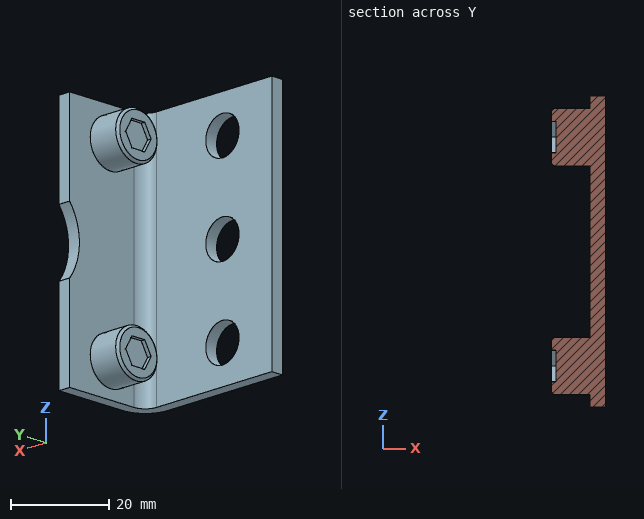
import cadquery as cq
import math

width = 39.69
depth = 24.99
height = 63.5
thickness = 3.175
bend_inner_radius = 3.25
bend_outer_radius = bend_inner_radius + thickness

hole_diameter = 9.53
hole_x = 14.29
hole_pitch = 22.225

head_diameter = 11.91
head_height = 7.94
head_chamfer = 0.6
head_y = 13.1
head_pitch = 46.7
socket_flats = 6.35
socket_depth = 1.0

notch_chord = 16.5
notch_depth = 2.8

mid_z = height / 2
inner_face_x = width - thickness


def make_bracket():
    arc_offset = 1 - math.sqrt(0.5)
    outer_mid = bend_outer_radius * arc_offset
    inner_mid = thickness + bend_inner_radius * arc_offset
    return (
        cq.Workplane("XY")
        .lineTo(width - bend_outer_radius, 0)
        .threePointArc((width - outer_mid, outer_mid), (width, bend_outer_radius))
        .lineTo(width, depth)
        .lineTo(inner_face_x, depth)
        .lineTo(inner_face_x, bend_outer_radius)
        .threePointArc((width - inner_mid, inner_mid), (width - bend_outer_radius, thickness))
        .lineTo(0, thickness)
        .close()
        .extrude(height)
    )


def make_mounting_holes():
    holes = cq.Workplane("XY")
    for step in (-1, 0, 1):
        hole = (
            cq.Workplane("XZ", origin=(hole_x, 0, mid_z + step * hole_pitch))
            .circle(hole_diameter / 2)
            .extrude(-thickness)
        )
        holes = holes.add(hole)
    return holes.combine()


def make_notch():
    notch_radius = ((notch_chord / 2) ** 2 + notch_depth ** 2) / (2 * notch_depth)
    center_y = depth - notch_depth + notch_radius
    return (
        cq.Workplane("YZ", origin=(inner_face_x, center_y, mid_z))
        .circle(notch_radius)
        .extrude(thickness)
    )


def make_screw_head(z):
    seat = cq.Plane(origin=(inner_face_x, head_y, z), xDir=(0, 1, 0), normal=(-1, 0, 0))
    socket_corners = socket_flats / math.cos(math.pi / 6)
    return (
        cq.Workplane(seat)
        .circle(head_diameter / 2)
        .extrude(head_height)
        .faces("<X")
        .chamfer(head_chamfer)
        .faces("<X")
        .workplane()
        .polygon(6, socket_corners)
        .cutBlind(-socket_depth)
    )


result = make_bracket().cut(make_mounting_holes()).cut(make_notch())
for side in (-1, 1):
    result = result.union(make_screw_head(mid_z + side * head_pitch / 2))